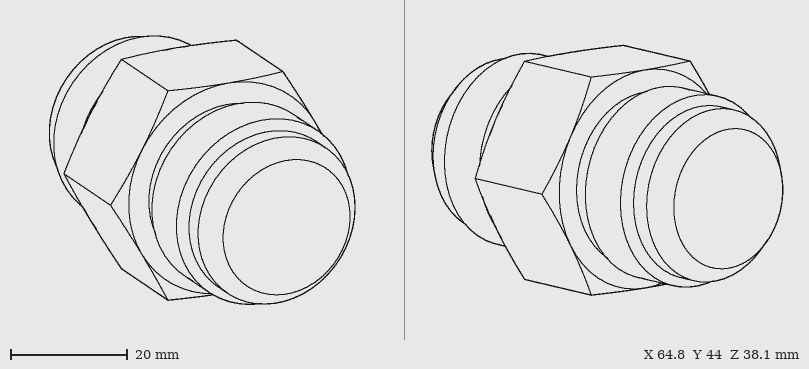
import cadquery as cq
import math

length = 64.8
hex_across_flats = 38.1
hex_width = 20.0
hex_chamfer_angle = 20.0

groove_diameter = 30.4
nose_diameter = 30.05
thread_diameter = 33.35

groove_width = 3.2
thread_inner_chamfer = 1.0
thread_width = 9.4
nose_width = 3.5
cone_length = 3.8
cone_angle = 37.0

half_length = length / 2
half_hex_width = hex_width / 2
groove_end = half_hex_width + groove_width
thread_start = groove_end + thread_inner_chamfer
thread_end = thread_start + thread_width
cone_start = half_length - cone_length
nose_start = cone_start - nose_width

hex_corner_radius = hex_across_flats / 2 / math.cos(math.radians(30))
groove_radius = groove_diameter / 2
nose_radius = nose_diameter / 2
thread_radius = thread_diameter / 2
tip_radius = nose_radius - cone_length * math.tan(math.radians(cone_angle))


def revolve_symmetric(half_profile):
    """Revolve (x, radius) points and their mirror image in the YZ plane about X."""
    mirrored = [(-x, radius) for x, radius in reversed(half_profile)]
    points = mirrored + half_profile
    outline = [(points[0][0], 0)] + points + [(points[-1][0], 0)]
    return cq.Workplane("XY").polyline(outline).close().revolve(360, (0, 0, 0), (1, 0, 0))


def make_ends():
    """Round body: relief groove, chamfered thread, nose and flared cone at both ends."""
    return revolve_symmetric([
        (groove_end, groove_radius),
        (thread_start, thread_radius),
        (thread_end, thread_radius),
        (nose_start, nose_radius),
        (cone_start, nose_radius),
        (half_length, tip_radius),
    ])


def make_hexagon():
    """Hexagon with flats facing up and down, its corners turned to a cone at both faces."""
    prism = (
        cq.Workplane("YZ")
        .polygon(6, 2 * hex_corner_radius)
        .extrude(half_hex_width, both=True)
    )
    face_radius = hex_across_flats / 2
    chamfer_rise = hex_corner_radius - face_radius
    chamfer_depth = chamfer_rise * math.tan(math.radians(hex_chamfer_angle))
    turned_blank = revolve_symmetric([
        (half_hex_width - chamfer_depth, hex_corner_radius),
        (half_hex_width, face_radius),
    ])
    return prism.intersect(turned_blank)


result = make_ends().union(make_hexagon())